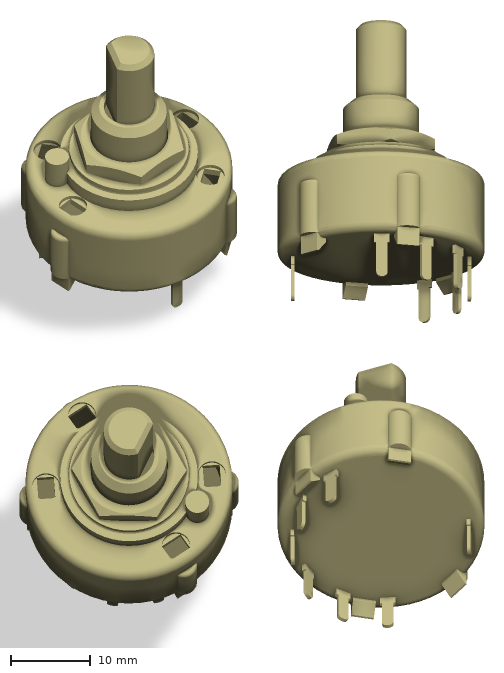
import cadquery as cq
import math

overall_height = 35.99

drum_diameter = 26.0
drum_height = 10.54
drum_edge_radius = 1.0
cavity_diameter = 24.0
roof_thickness = 1.4
floor_thickness = 1.0
roof_underside = drum_height - roof_thickness

plinth_diameter = 17.3
plinth_height = 1.86
plinth_top = drum_height + plinth_height
seat_diameter = 15.3
seat_depth = 0.3
washer_clearance = 0.1
washer_bottom = plinth_top + washer_clearance

bushing_diameter = 9.5
bushing_shoulder_diameter = 10.25
bushing_top = 20.4
bushing_chamfer_width = 1.0
bushing_chamfer_height = 0.87
shaft_diameter = 6.35
shaft_top = 30.45
shaft_flat_depth = 1.0
shaft_flat_bottom = bushing_top - shaft_flat_depth
shaft_flat_distance = 2.3
shaft_chamfer = 0.6

post_diameter = 3.0
post_offset = 9.5
post_top = 14.45

clip_angles = (60, 120, 240, 300)
rib_radius = 1.685
rib_offset = 12.13
rib_bottom = 0.5
rib_top = 7.47
rib_edge_radius = 0.45
foot_width = 2.9
foot_outer_face = math.sqrt((drum_diameter / 2) ** 2 - (foot_width / 2) ** 2)
foot_depth = 1.6
foot_tip_depth = 0.25
foot_bottom = -1.8
foot_slope_top = -0.45
window_offset = 10.45
window_diameter = 3.55
window_recess_depth = 0.5
window_width = 2.83
window_length = math.sqrt(window_diameter**2 - window_width**2)

pin_angles = (15, 105, 135, 165, 195, 225, 255)
pin_circle_radius = 11.1
pin_thickness = 0.46
pin_width = 1.42
pin_tip_radius = 0.6
pin_embed = 0.5
pin_bottom = shaft_top - overall_height
shoulder_width = 1.95
shoulder_height = 1.1

washer_diameter = 15.0
washer_top = 13.12
nut_height = 2.33
nut_top = washer_top + nut_height
nut_across_corners = 14.45
nut_turn = -5.4
nut_bore = 9.85
nut_face_diameter = 12.1
nut_chamfer_height = 0.53


def cylinder(diameter, bottom, top):
    return cq.Workplane("XY").workplane(offset=bottom).circle(diameter / 2).extrude(top - bottom)


def at_angle(shape, angle):
    """Turn a shape made on the +X axis to its place around the part's axis."""
    return shape.rotate((0, 0, 0), (0, 0, 1), angle)


def make_shaft():
    """D-shaft whose flat, on the -Y side, runs down inside the mouth of the bushing."""
    flat_side = cq.Workplane("XY").box(
        shaft_diameter, shaft_diameter, shaft_top, centered=(True, False, False)
    )
    flat_side = flat_side.translate((0, -shaft_flat_distance, 0))
    shaft = cylinder(shaft_diameter, shaft_flat_bottom, shaft_top).intersect(flat_side)
    return shaft.faces(">Z").chamfer(shaft_chamfer)


def make_bushing():
    """Bushing with a shoulder that carries the washer, bored at its mouth for the shaft."""
    radius = bushing_diameter / 2
    shoulder_radius = bushing_shoulder_diameter / 2
    bushing = (
        cq.Workplane("XZ")
        .moveTo(0, roof_underside)
        .lineTo(shoulder_radius, roof_underside)
        .lineTo(shoulder_radius, washer_bottom)
        .lineTo(radius, washer_bottom)
        .lineTo(radius, bushing_top - bushing_chamfer_height)
        .lineTo(radius - bushing_chamfer_width, bushing_top)
        .lineTo(0, bushing_top)
        .close()
        .revolve(360, (0, 0, 0), (0, 1, 0))
    )
    return bushing.cut(cylinder(shaft_diameter, shaft_flat_bottom, bushing_top))


def make_rib():
    """Round rib, partly sunk in the drum's wall, with a rounded top edge."""
    rib = cylinder(2 * rib_radius, rib_bottom, rib_top).faces(">Z").edges().fillet(rib_edge_radius)
    return rib.translate((rib_offset, 0, 0))


def make_foot():
    """Block under a rib whose inner side slopes out to a narrow tip."""
    inner = foot_outer_face - foot_depth
    return (
        cq.Workplane("XZ")
        .moveTo(foot_outer_face, rib_bottom)
        .lineTo(foot_outer_face, foot_bottom)
        .lineTo(foot_outer_face - foot_tip_depth, foot_bottom)
        .lineTo(inner, foot_slope_top)
        .lineTo(inner, rib_bottom)
        .close()
        .extrude(foot_width / 2, both=True)
    )


def make_window():
    """Round recess with a rectangular opening through the drum's roof."""
    recess = cylinder(window_diameter, drum_height - window_recess_depth, plinth_top)
    opening = cq.Workplane("XY").box(
        window_length, window_width, roof_thickness, centered=(True, True, False)
    )
    opening = opening.translate((0, 0, roof_underside))
    return recess.union(opening).translate((window_offset, 0, 0))


def make_pin():
    """Flat terminal with a rounded tip and a wider shoulder just under the drum."""
    blade_height = pin_embed - pin_bottom
    blade = (
        cq.Workplane("XY")
        .box(pin_thickness, pin_width, blade_height, centered=(True, True, False))
        .edges("|X and <Z")
        .fillet(pin_tip_radius)
        .translate((0, 0, pin_bottom))
    )
    shoulder = cq.Workplane("XY").box(
        pin_thickness, shoulder_width, pin_embed + shoulder_height, centered=(True, True, False)
    )
    pin = blade.union(shoulder.translate((0, 0, -shoulder_height)))
    return pin.translate((pin_circle_radius, 0, 0))


def make_switch():
    """Hollow drum, plinth, ribs, feet, bushing, shaft, post and terminals as one solid."""
    drum = cylinder(drum_diameter, 0, drum_height).edges().fillet(drum_edge_radius)
    plinth = cylinder(plinth_diameter, drum_height, plinth_top)
    switch = drum.union(plinth)
    for angle in clip_angles:
        switch = switch.union(at_angle(make_rib(), angle))
    switch = switch.cut(cylinder(cavity_diameter, floor_thickness, roof_underside))
    for angle in clip_angles:
        switch = switch.union(at_angle(make_foot(), angle))
        switch = switch.cut(at_angle(make_window(), angle))
    switch = switch.cut(cylinder(seat_diameter, plinth_top - seat_depth, plinth_top))
    switch = switch.union(make_bushing()).union(make_shaft())
    post = cylinder(post_diameter, drum_height, post_top)
    switch = switch.union(post.translate((0, -post_offset, 0)))
    for angle in pin_angles:
        switch = switch.union(at_angle(make_pin(), angle))
    return switch


def make_nut():
    """Hexagon nut, chamfered on both sides, in one piece with the washer under it."""
    hexagon = (
        cq.Workplane("XY")
        .workplane(offset=washer_top)
        .polygon(6, nut_across_corners)
        .extrude(nut_height)
    )
    corner_radius = nut_across_corners / 2
    face_radius = nut_face_diameter / 2
    chamfer_cones = (
        cq.Workplane("XZ")
        .moveTo(0, washer_top)
        .lineTo(face_radius, washer_top)
        .lineTo(corner_radius, washer_top + nut_chamfer_height)
        .lineTo(corner_radius, nut_top - nut_chamfer_height)
        .lineTo(face_radius, nut_top)
        .lineTo(0, nut_top)
        .close()
        .revolve(360, (0, 0, 0), (0, 1, 0))
    )
    hexagon = at_angle(hexagon.intersect(chamfer_cones), nut_turn)
    washer = cylinder(washer_diameter, washer_bottom, washer_top)
    return hexagon.union(washer).cut(cylinder(nut_bore, 0, nut_top))


switch = make_switch()
nut = make_nut()

result = cq.Compound.makeCompound([switch.val(), nut.val()])